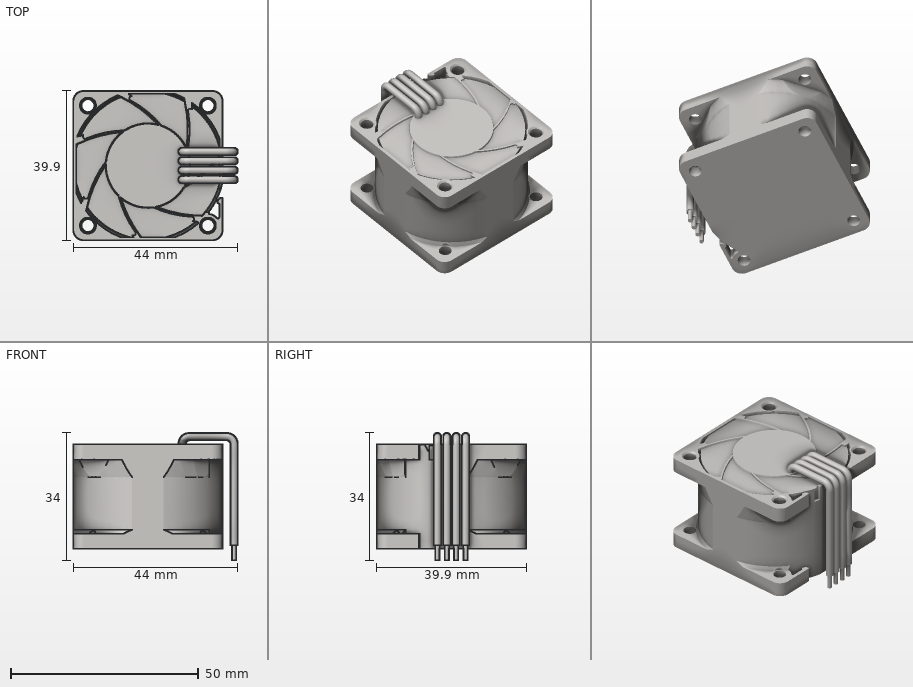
import cadquery as cq
import math

OVERALL_LENGTH = 43.95
OVERALL_HEIGHT = 34.0
SIDE = 39.9
HEIGHT = 28.0
FLANGE = 4.15
CORNER_RADIUS = 2.8
HALF = SIDE / 2
FLANGE_UNDERSIDE = HEIGHT - FLANGE

BARREL_RADIUS = 20.4
FLARE_HEIGHT = 4.7
FLARE_RADIUS = 21.15
FOOT_HEIGHT = 1.0
FOOT_RADIUS = 20.95
RELIEF_ANGLE = -54.5
RELIEF_RISE = 0.25

BORE_RADIUS = 19.7
BORE_HALF = 19.1
OPENING_DEPTH = 0.5
OPENING_RADIUS = 20.45
ROTOR_TOP = HEIGHT - OPENING_DEPTH

HUB_RADIUS = 11.15
HUB_DRAFT = 0.155
VANE_COUNT = 7
VANE_DRAFT = 0.155

HOLE_OFFSET = 16.0
HOLE_RADIUS = 1.7
COUNTERSINK_RADIUS = 2.15
HOLE_BOSS_RADIUS = 2.6
HEAD_CLEARANCE_RADIUS = 2.05

PAD_HALF_WIDTH = 4.6
PAD_ROOT_HALF_WIDTH = 5.0

SLOT_LEFT = 16.35
SLOT_RIGHT = 19.05
SLOT_TIP = -8.8
SLOT_ARC_RADIUS = 3.1
SLOT_ARC_MIDDLE = 17.45
SLOT_ARC_END = 18.3
SLOT_TOP = -math.sqrt(BARREL_RADIUS**2 - HALF**2)
NOTCH_BOTTOM = -12.5
TAB_TOP = -5.9
TAB_BOTTOM = -8.53

WIRE_COUNT = 4
WIRE_PITCH = 2.5
WIRE_RADIUS = 1.0
CORE_RADIUS = 0.595
WIRE_BEND = 1.98
WIRE_START_X = 9.1
WIRE_DROP_X = OVERALL_LENGTH - HALF - WIRE_RADIUS
INSULATION_END = 0.95
CORE_END = HEIGHT + WIRE_BEND + WIRE_RADIUS - OVERALL_HEIGHT

CORNERS = [(sx * HOLE_OFFSET, sy * HOLE_OFFSET) for sx in (-1, 1) for sy in (-1, 1)]


def cylinder(radius, bottom, height, centres=((0, 0),)):
    return cq.Workplane("XY", origin=(0, 0, bottom)).pushPoints(list(centres)).circle(radius).extrude(height)


def cone(bottom_radius, top_radius, bottom, height):
    solid = cq.Solid.makeCone(bottom_radius, top_radius, height, pnt=cq.Vector(0, 0, bottom))
    return cq.Workplane(obj=solid)


def box(x_range, y_range, z_range):
    corner = (x_range[0], y_range[0], z_range[0])
    size = (x_range[1] - x_range[0], y_range[1] - y_range[0], z_range[1] - z_range[0])
    return cq.Workplane("XY").box(*size, centered=False).translate(corner)


def square(half, bottom, height):
    return cq.Workplane("XY", origin=(0, 0, bottom)).rect(2 * half, 2 * half).extrude(height)


def duct_core(bottom, height):
    """Round bore with flats along the four sides."""
    return cylinder(BORE_RADIUS, bottom, height).intersect(square(BORE_HALF, bottom, height))


def flange(bottom):
    return square(HALF, bottom, FLANGE).edges("|Z").fillet(CORNER_RADIUS)


def flare():
    """Cone under the upper flange, cut flat towards the corners."""
    bottom = FLANGE_UNDERSIDE - FLARE_HEIGHT
    body = cone(BARREL_RADIUS, FLARE_RADIUS, bottom, FLARE_HEIGHT)
    body = body.intersect(square(BARREL_RADIUS, bottom, FLARE_HEIGHT).rotate((0, 0, 0), (0, 0, 1), 45))
    relief = (
        cq.Workplane("XZ")
        .polyline([
            (BARREL_RADIUS, bottom),
            (BARREL_RADIUS + RELIEF_RISE, FLANGE_UNDERSIDE),
            (SIDE, FLANGE_UNDERSIDE),
            (SIDE, bottom),
        ])
        .close()
        .extrude(HALF, both=True)
        .rotate((0, 0, 0), (0, 0, 1), RELIEF_ANGLE)
    )
    return body.cut(relief)


def foot():
    """Cone above the lower flange, with room for the screw heads."""
    body = cone(FOOT_RADIUS, BARREL_RADIUS, FLANGE, FOOT_HEIGHT)
    return body.cut(cylinder(HEAD_CLEARANCE_RADIUS, FLANGE, FOOT_HEIGHT, CORNERS))


def side_pad():
    root = -math.sqrt(BARREL_RADIUS**2 - PAD_ROOT_HALF_WIDTH**2)
    return (
        cq.Workplane("XY", origin=(0, 0, FLANGE))
        .polyline([
            (-HALF, -PAD_HALF_WIDTH),
            (-HALF, PAD_HALF_WIDTH),
            (root, PAD_ROOT_HALF_WIDTH),
            (root, -PAD_ROOT_HALF_WIDTH),
        ])
        .close()
        .extrude(FLANGE_UNDERSIDE - FLANGE)
    )


def housing_blank():
    barrel = cylinder(BARREL_RADIUS, 0, HEIGHT).union(flare()).union(foot())
    barrel = barrel.intersect(square(HALF, 0, HEIGHT)).union(side_pad())
    return barrel.union(flange(0)).union(flange(FLANGE_UNDERSIDE))


def vane_outline(height, draft):
    """Outline of one vane: two curved edges that run from inside the hub to beyond the bore,

    with a small hook at the outer end of the first edge. The second edge moves out by draft.
    """
    return (
        cq.Workplane("XY", origin=(0, 0, height))
        .moveTo(-5.27, 8.35)
        .lineTo(-6.25, 9.45)
        .threePointArc((-11.85, 8.75), (-16.25, 7.35))
        .threePointArc((-17.05, 7.25), (-17.35, 7.75))
        .lineTo(-17.25, 8.17)
        .lineTo(-17.75, 8.0)
        .lineTo(-20.65, 7.3)
        .lineTo(-20.65, 5.0 - draft)
        .lineTo(-19.1, 5.7 - draft)
        .threePointArc((-12.7, 8.1 - draft), (-6.8, 9.05 - draft))
        .close()
        .wires()
        .val()
    )


def vane():
    """One vane, drafted beside the hub plate and straight below it."""
    lower = vane_outline(ROTOR_TOP, VANE_DRAFT)
    upper = vane_outline(HEIGHT, 0)
    blade = cq.Workplane(obj=cq.Solid.makeLoft([lower, upper], True))
    root = cq.Workplane(obj=lower).toPending().extrude(FLANGE_UNDERSIDE - ROTOR_TOP)
    return blade.union(root)


def outlet_openings():
    """Flared ring through the upper flange, less the hub, the vanes and the hole bosses."""
    openings = cone(BORE_RADIUS, OPENING_RADIUS, FLANGE_UNDERSIDE, FLANGE)
    openings = openings.intersect(square(BORE_HALF, FLANGE_UNDERSIDE, FLANGE))
    openings = openings.cut(cone(HUB_RADIUS + HUB_DRAFT, HUB_RADIUS, ROTOR_TOP, OPENING_DEPTH))
    openings = openings.cut(cylinder(HOLE_BOSS_RADIUS, FLANGE_UNDERSIDE, FLANGE, CORNERS))
    blade = vane()
    for index in range(VANE_COUNT):
        openings = openings.cut(blade.rotate((0, 0, 0), (0, 0, 1), index * 360 / VANE_COUNT))
    rim_x = (HOLE_OFFSET - HOLE_BOSS_RADIUS, HALF)
    straight_rim = box(rim_x, (-HALF, NOTCH_BOTTOM), (FLANGE_UNDERSIDE, HEIGHT))
    return openings.cut(straight_rim.cut(duct_core(FLANGE_UNDERSIDE, FLANGE)))


def mounting_holes():
    holes = cylinder(HOLE_RADIUS, 0, HEIGHT, CORNERS)
    depth = COUNTERSINK_RADIUS - HOLE_RADIUS
    for x, y in CORNERS:
        sink = cone(HOLE_RADIUS, COUNTERSINK_RADIUS, HEIGHT - depth, depth)
        holes = holes.union(sink.translate((x, y, 0)))
    return holes


def wire_slot():
    """Slot through both flanges, closed by a hooked finger along the +X side."""
    hole_y = -HOLE_OFFSET

    def hole_arc(x):
        return (x, hole_y + math.sqrt(SLOT_ARC_RADIUS**2 - (x - HOLE_OFFSET) ** 2))

    outside = HALF + 0.9
    slot = (
        cq.Workplane("XY")
        .moveTo(SLOT_LEFT, SLOT_TOP)
        .lineTo(*hole_arc(SLOT_LEFT))
        .threePointArc(hole_arc(SLOT_ARC_MIDDLE), hole_arc(SLOT_ARC_END))
        .threePointArc((18.7, -14.05), (SLOT_RIGHT, -13.7))
        .lineTo(SLOT_RIGHT, -10.2)
        .lineTo(18.45, -9.9)
        .threePointArc((18.72, -9.15), (19.35, -8.6))
        .threePointArc((19.65, -8.53), (HALF, SLOT_TIP))
        .lineTo(outside, SLOT_TIP)
        .lineTo(outside, SLOT_TOP)
        .close()
        .extrude(HEIGHT)
    )
    between_flanges = box((SLOT_LEFT, outside), (-HALF, SLOT_TOP), (FLANGE, FLANGE_UNDERSIDE))
    return slot.union(between_flanges).cut(cylinder(BARREL_RADIUS, 0, HEIGHT))


def slot_notch():
    """The duct wall beside the slot is cut away in the upper flange, except for a tab."""
    z_range = (FLANGE_UNDERSIDE, HEIGHT)
    notch = cylinder(BARREL_RADIUS, FLANGE_UNDERSIDE, FLANGE)
    notch = notch.intersect(box((0, HALF), (NOTCH_BOTTOM, SLOT_TOP), z_range))
    notch = notch.cut(cylinder(BORE_RADIUS, FLANGE_UNDERSIDE, FLANGE))
    return notch.cut(box((0, HALF), (TAB_BOTTOM, TAB_TOP), z_range))


def wire(y):
    """Insulated wire rising from the hub, running over the rim and down beside it."""
    diagonal = WIRE_BEND * math.sqrt(0.5)
    run = HEIGHT + WIRE_BEND
    first_bend_x = WIRE_START_X + WIRE_BEND
    last_bend_x = WIRE_DROP_X - WIRE_BEND
    path = (
        cq.Workplane("XZ", origin=(0, y, 0))
        .moveTo(WIRE_START_X, HEIGHT)
        .threePointArc((first_bend_x - diagonal, HEIGHT + diagonal), (first_bend_x, run))
        .lineTo(last_bend_x, run)
        .threePointArc((last_bend_x + diagonal, HEIGHT + diagonal), (WIRE_DROP_X, HEIGHT))
        .lineTo(WIRE_DROP_X, INSULATION_END)
    )
    insulation = cq.Workplane("XY", origin=(WIRE_START_X, y, HEIGHT)).circle(WIRE_RADIUS).sweep(path)
    core = cylinder(CORE_RADIUS, CORE_END, INSULATION_END - CORE_END, [(WIRE_DROP_X, y)])
    return insulation.union(core)


def make_housing():
    body = housing_blank()
    body = body.cut(duct_core(0, ROTOR_TOP))
    body = body.cut(outlet_openings())
    body = body.cut(mounting_holes())
    body = body.cut(wire_slot())
    body = body.cut(slot_notch())
    for index in range(WIRE_COUNT):
        body = body.union(wire((index - (WIRE_COUNT - 1) / 2) * WIRE_PITCH))
    return body


def make_rotor():
    """Rotor envelope filling the bore up to the underside of hub and vanes."""
    return duct_core(0, ROTOR_TOP)


housing = make_housing()
rotor = make_rotor()
result = cq.Compound.makeCompound([housing.solids().val(), rotor.solids().val()])